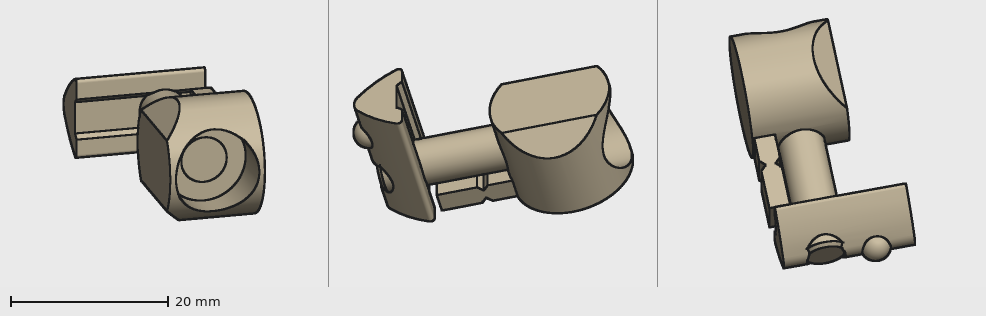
import cadquery as cq
import math


BARREL_DIAMETER = 15.7
BARREL_LENGTH = 12.5
BARREL_CHAMFER = 3.1
HEAD_RECESS_DIAMETER = 11.0

BOLT_DIAMETER = 6.0
BOLT_LENGTH = 25.0
BOLT_TIP_X = -23.7
BOLT_TIP_CHAMFER = 0.5
BOLT_END_X = BOLT_TIP_X + BOLT_LENGTH

KEY_FREE_END_X = -17.2
KEY_Y_MIN = 3.3
KEY_Y_MAX = 6.0
KEY_HEIGHT = 6.0
KEY_NOTCH_X = -11.2
KEY_NOTCH_DEPTH = 0.7

NUT_FACE_X = -18.0
NUT_NOSE_X = -24.3
NUT_Y_MIN = -11.5
NUT_Y_MAX = 5.5
NUT_NOSE_RADIUS = 2.0
NUT_NOSE_HALF_ANGLE = math.radians(43)
NUT_FLANK_RADIUS = 16.0
NUT_CORNER_HALF_HEIGHT = 5.58
NUT_CORNER_RADIUS = 0.5
NUT_CHANNEL_DEPTH = 0.7
NUT_CHANNEL_FLOOR_HALF_HEIGHT = 2.1
NUT_CHANNEL_MOUTH_HALF_HEIGHT = 2.7

DETENT_DIAMETER = 4.0
DETENT_Y = -6.5
DETENT_PROJECTION = 1.3
DETENT_X = NUT_NOSE_X - DETENT_PROJECTION + DETENT_DIAMETER / 2


def rod_along_x(diameter, x_start, x_end):
    """Round rod on the bolt axis."""
    return (
        cq.Workplane("YZ", origin=(x_start, 0, 0))
        .circle(diameter / 2)
        .extrude(x_end - x_start)
    )


def make_bolt():
    shank = rod_along_x(BOLT_DIAMETER, BOLT_TIP_X, BOLT_END_X)
    return shank.faces("<X").chamfer(BOLT_TIP_CHAMFER)


def make_barrel_cylinder():
    return cq.Workplane("XZ").circle(BARREL_DIAMETER / 2).extrude(BARREL_LENGTH / 2, both=True)


def make_key():
    """Flat key with a V notch in both sides and an end shaped to the barrel's round side."""
    notch_start = KEY_NOTCH_X - KEY_NOTCH_DEPTH
    notch_end = KEY_NOTCH_X + KEY_NOTCH_DEPTH
    bar = (
        cq.Workplane("XY")
        .moveTo(KEY_FREE_END_X, KEY_Y_MIN)
        .lineTo(notch_start, KEY_Y_MIN)
        .lineTo(KEY_NOTCH_X, KEY_Y_MIN + KEY_NOTCH_DEPTH)
        .lineTo(notch_end, KEY_Y_MIN)
        .lineTo(0, KEY_Y_MIN)
        .lineTo(0, KEY_Y_MAX)
        .lineTo(notch_end, KEY_Y_MAX)
        .lineTo(KEY_NOTCH_X, KEY_Y_MAX - KEY_NOTCH_DEPTH)
        .lineTo(notch_start, KEY_Y_MAX)
        .lineTo(KEY_FREE_END_X, KEY_Y_MAX)
        .close()
        .extrude(KEY_HEIGHT / 2, both=True)
    )
    return bar.cut(make_barrel_cylinder())


def make_barrel(bolt):
    """Cross barrel with two flat 45 degree bevels at its -Y end."""
    radius = BARREL_DIAMETER / 2
    y_end = BARREL_LENGTH / 2
    flat_half_height = radius - BARREL_CHAMFER
    bevel_envelope = (
        cq.Workplane("YZ")
        .moveTo(y_end, -radius)
        .lineTo(y_end, radius)
        .lineTo(BARREL_CHAMFER - y_end, radius)
        .lineTo(-y_end, flat_half_height)
        .lineTo(-y_end, -flat_half_height)
        .lineTo(BARREL_CHAMFER - y_end, -radius)
        .close()
        .extrude(radius, both=True)
    )
    head_recess = rod_along_x(HEAD_RECESS_DIAMETER, BOLT_END_X, BARREL_DIAMETER)
    return make_barrel_cylinder().intersect(bevel_envelope).cut(head_recess).cut(bolt)


def make_nut(bolt):
    """Sliding nut with a rounded nose, arched flanks, a detent and a shallow channel in its face."""
    nose_end_x = NUT_NOSE_X + NUT_NOSE_RADIUS * (1 - math.cos(NUT_NOSE_HALF_ANGLE))
    nose_end_z = NUT_NOSE_RADIUS * math.sin(NUT_NOSE_HALF_ANGLE)
    channel_floor_x = NUT_FACE_X - NUT_CHANNEL_DEPTH
    body = (
        cq.Workplane("XZ", origin=(0, NUT_Y_MAX, 0))
        .moveTo(nose_end_x, -nose_end_z)
        .threePointArc((NUT_NOSE_X, 0), (nose_end_x, nose_end_z))
        .radiusArc((NUT_FACE_X, NUT_CORNER_HALF_HEIGHT), NUT_FLANK_RADIUS)
        .lineTo(NUT_FACE_X, NUT_CHANNEL_MOUTH_HALF_HEIGHT)
        .lineTo(channel_floor_x, NUT_CHANNEL_FLOOR_HALF_HEIGHT)
        .lineTo(channel_floor_x, -NUT_CHANNEL_FLOOR_HALF_HEIGHT)
        .lineTo(NUT_FACE_X, -NUT_CHANNEL_MOUTH_HALF_HEIGHT)
        .lineTo(NUT_FACE_X, -NUT_CORNER_HALF_HEIGHT)
        .radiusArc((nose_end_x, -nose_end_z), NUT_FLANK_RADIUS)
        .close()
        .extrude(NUT_Y_MAX - NUT_Y_MIN)
    )
    for corner in (">Z", "<Z"):
        body = body.edges("|Y").edges(corner).fillet(NUT_CORNER_RADIUS)

    detent = (
        cq.Workplane("XZ", origin=(DETENT_X, DETENT_Y, 0))
        .sphere(DETENT_DIAMETER / 2)
    )

    nose_bore_diameter = BOLT_DIAMETER - 2 * BOLT_TIP_CHAMFER
    nose_bore = rod_along_x(nose_bore_diameter, NUT_NOSE_X, NUT_FACE_X)
    return body.union(detent).cut(nose_bore).cut(bolt)


bolt = make_bolt()
barrel = make_barrel(bolt)
nut = make_nut(bolt)
key = make_key()

bodies = [barrel, bolt, nut, key]
result = cq.Compound.makeCompound([body.solids().val() for body in bodies])